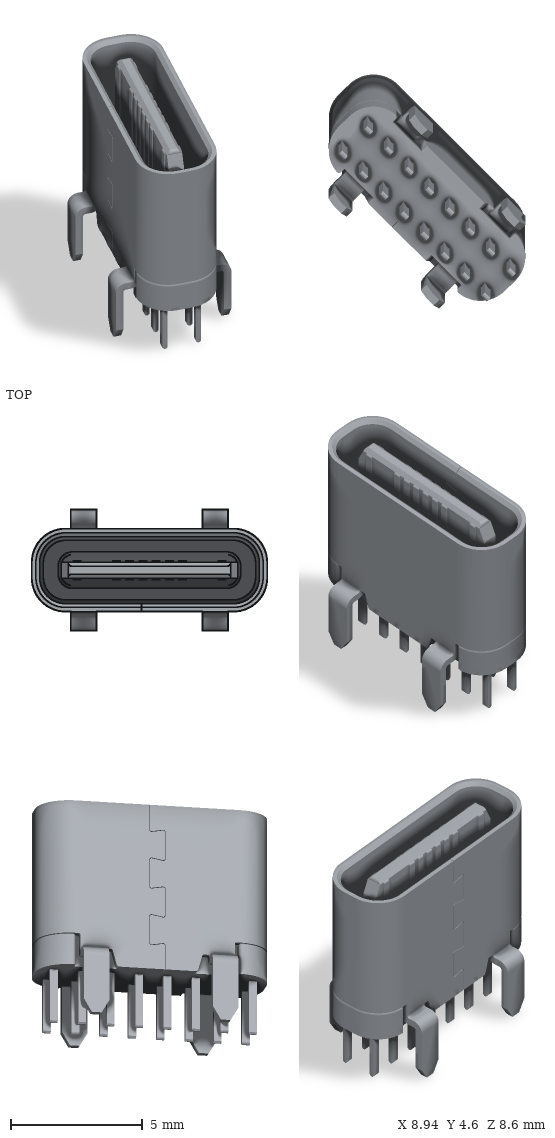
import cadquery as cq
import math


SHELL_LENGTH = 8.94
SHELL_DEPTH = 3.16
SHELL_HEIGHT = 6.51
CORNER_RADIUS = 1.3
SHEET = 0.3
RIM_CHAMFER = 0.14
INNER_LENGTH = SHELL_LENGTH - 2 * SHEET
INNER_DEPTH = SHELL_DEPTH - 2 * SHEET
INNER_RADIUS = CORNER_RADIUS - SHEET

LEG_SPAN_Y = 4.6
LEG_X = 2.49
LEG_WIDTH = 0.98
LEG_BOTTOM = -2.09
LEG_ARM_TOP = 0.58
LEG_TIP_WIDTH = 0.375
LEG_TIP_HEIGHT = 0.51
BEND_INNER = 0.1
BEND_OUTER = BEND_INNER + SHEET
LEG_OUTER_EDGE = LEG_X + LEG_WIDTH / 2
LEG_INNER_EDGE = LEG_X - LEG_WIDTH / 2
BEND_TOP = LEG_ARM_TOP + BEND_INNER

FLANGE_HEIGHT = 1.24
NOTCH_TOP_X = 1.74
NOTCH_BOTTOM_X = 1.57
NOTCH_MOUTH_X = 1.52
NOTCH_MOUTH_HEIGHT = 0.07
CUT_RADIUS = 0.06

SEAM_LEFT_X = -0.3
SEAM_RIGHT_X = 0.295
SEAM_GAP = 0.03
SEAM_FIRST_Z = 0.98
SEAM_PITCH = 1.13
SEAM_STEPS = 5
SEAM_SLANT = 0.05
SEAM_RADIUS = 0.07

FLANGE_END_X = 3.16
FLANGE_END_RADIUS = 0.125
FLANGE_TOP_RADIUS = 0.1
FLOOR_Z = 1.61
FLOOR_CHAMFER = 0.14

ROOT_LENGTH = 6.92
ROOT_DEPTH = 1.39
ROOT_RADIUS = 0.54
ROOT_STEP = 0.08
ROOT_HEIGHT = 0.33
ROOT_CHAMFER = 0.11
TONGUE_LENGTH = 6.69
TONGUE_THICKNESS = 0.61
TONGUE_SHOULDER_Z = 5.79
TONGUE_BEVEL_LENGTH = 6.17
TONGUE_BEVEL_Z = 6.36
TIP_LENGTH = 5.9
TIP_THICKNESS = 0.3

CONTACT_PITCH = 0.5
CONTACT_PITCHES_OUT = (0.5, 1.5, 2.5, 5.5)
CONTACT_WIDTH = 0.29
CONTACT_RISE = 0.05
CONTACT_RAMP = 0.07
PIN_PITCH = 1.1
PINS_PER_ROW = 8
PIN_ROW_Y = 0.67
PIN_WIDTH = 0.3
PIN_THICKNESS = 0.2
PIN_CHAMFER = 0.06

THROUGH = 2 * SHELL_LENGTH


def rounded_block(length, depth, radius, bottom, top):
    """Upright block with a rounded-rectangle outline."""
    block = cq.Workplane("XY").workplane(offset=bottom).rect(length, depth).extrude(top - bottom)
    return block.edges("|Z").fillet(radius)


def box(x_range, y_range, z_range):
    """Axis-aligned box given by its limits."""
    lengths = [high - low for low, high in (x_range, y_range, z_range)]
    corner = (x_range[0], y_range[0], z_range[0])
    return cq.Workplane("XY").box(*lengths, centered=False).translate(corner)


def both_x(shape):
    """The shape together with its mirror image across X = 0."""
    return shape.union(shape.mirror("YZ"))


def shell_tube():
    """Straight rounded tube with a chamfered lead-in around the mouth."""
    outer = rounded_block(SHELL_LENGTH, SHELL_DEPTH, CORNER_RADIUS, 0, SHELL_HEIGHT)
    inner = rounded_block(INNER_LENGTH, INNER_DEPTH, INNER_RADIUS, 0, SHELL_HEIGHT)
    reach = (SHELL_LENGTH - SHEET) / 2, (SHELL_DEPTH - SHEET) / 2
    mouth = cq.selectors.BoxSelector(
        (-reach[0], -reach[1], SHELL_HEIGHT - SHEET),
        (reach[0], reach[1], SHELL_HEIGHT + SHEET),
        boundingbox=True,
    )
    return outer.cut(inner).faces(">Z").edges(mouth).chamfer(RIM_CHAMFER)


def lower_edge_cuts():
    """Openings at the ends, over the legs and beside the legs, through both long walls."""
    end = box((-SHELL_LENGTH, -LEG_OUTER_EDGE), (-THROUGH, THROUGH), (0, FLANGE_HEIGHT))
    end = end.edges("|Y and >X and >Z").fillet(CUT_RADIUS)
    leg_gap = box((-LEG_OUTER_EDGE, -LEG_INNER_EDGE), (-THROUGH, THROUGH), (0, BEND_TOP))
    notch = (
        cq.Workplane("XZ")
        .polyline([
            (-LEG_INNER_EDGE, 0),
            (-LEG_INNER_EDGE, BEND_TOP),
            (-NOTCH_TOP_X, BEND_TOP),
            (-NOTCH_BOTTOM_X, NOTCH_MOUTH_HEIGHT),
            (-NOTCH_MOUTH_X, 0),
        ])
        .close()
        .extrude(THROUGH, both=True)
        .edges("|Y and >Z")
        .fillet(CUT_RADIUS)
    )
    return both_x(end.union(leg_gap).union(notch))


def seam_cut():
    """Narrow zigzag gap through the front wall, leaving interlocking dovetail tabs."""
    path = [(SEAM_RIGHT_X, -SHEET)]
    for step in range(SEAM_STEPS):
        middle = SEAM_FIRST_Z + SEAM_PITCH * step
        right_end = (SEAM_RIGHT_X, middle + SEAM_SLANT * (-1) ** step)
        left_end = (SEAM_LEFT_X, middle - SEAM_SLANT * (-1) ** step)
        path += [right_end, left_end] if step % 2 == 0 else [left_end, right_end]
    path.append((SEAM_LEFT_X, SHELL_HEIGHT + SHEET))
    centre_line = cq.Wire.makePolygon([cq.Vector(x, 0, z) for x, z in path])
    centre_line = centre_line.fillet(SEAM_RADIUS, centre_line.Vertices()[1:-1])
    outline = centre_line.offset2D(SEAM_GAP / 2)[0]
    gap = cq.Solid.extrudeLinear(outline, [], cq.Vector(0, -SHELL_DEPTH, 0))
    return cq.Workplane(gap)


def arc_point(centre, radius, degrees):
    """Point on a circle in the YZ plane."""
    angle = math.radians(degrees)
    return centre[0] + radius * math.cos(angle), centre[1] + radius * math.sin(angle)


def leg():
    """Leg on the +X, +Y side: out of the wall, along a short arm and down to a pointed tip."""
    outer_face = LEG_SPAN_Y / 2
    upper_bend = (SHELL_DEPTH / 2 + BEND_INNER, BEND_TOP)
    lower_bend = (outer_face - BEND_OUTER, LEG_ARM_TOP - BEND_OUTER)
    strip = (
        cq.Workplane("YZ")
        .moveTo(*arc_point(upper_bend, BEND_INNER, 180))
        .threePointArc(arc_point(upper_bend, BEND_INNER, 225), arc_point(upper_bend, BEND_INNER, 270))
        .lineTo(*arc_point(lower_bend, BEND_OUTER, 90))
        .threePointArc(arc_point(lower_bend, BEND_OUTER, 45), arc_point(lower_bend, BEND_OUTER, 0))
        .lineTo(outer_face, LEG_BOTTOM)
        .lineTo(outer_face - SHEET, LEG_BOTTOM)
        .lineTo(*arc_point(lower_bend, BEND_INNER, 0))
        .threePointArc(arc_point(lower_bend, BEND_INNER, 45), arc_point(lower_bend, BEND_INNER, 90))
        .lineTo(*arc_point(upper_bend, BEND_OUTER, 270))
        .threePointArc(arc_point(upper_bend, BEND_OUTER, 225), arc_point(upper_bend, BEND_OUTER, 180))
        .close()
        .extrude(LEG_WIDTH / 2, both=True)
    )
    shoulder = LEG_BOTTOM + LEG_TIP_HEIGHT
    blade = (
        cq.Workplane("XZ")
        .polyline([
            (-LEG_TIP_WIDTH / 2, LEG_BOTTOM),
            (-LEG_WIDTH / 2, shoulder),
            (-LEG_WIDTH / 2, BEND_TOP),
            (LEG_WIDTH / 2, BEND_TOP),
            (LEG_WIDTH / 2, shoulder),
            (LEG_TIP_WIDTH / 2, LEG_BOTTOM),
        ])
        .close()
        .extrude(-LEG_SPAN_Y)
    )
    return strip.intersect(blade).translate((LEG_X, 0, 0))


def make_shell():
    shell = shell_tube().cut(lower_edge_cuts()).cut(seam_cut())
    legs = both_x(leg())
    return shell.union(legs).union(legs.mirror("XZ"))


def core_base():
    """Plug that fills the lower end of the shell, with the flange pieces under the shell ends."""
    plug = rounded_block(INNER_LENGTH, INNER_DEPTH, INNER_RADIUS, 0, FLOOR_Z)
    plug = plug.faces(">Z").chamfer(FLOOR_CHAMFER)
    flange = rounded_block(SHELL_LENGTH, SHELL_DEPTH, CORNER_RADIUS, 0, FLANGE_HEIGHT)
    flange = flange.intersect(
        box((FLANGE_END_X, THROUGH), (-THROUGH, THROUGH), (0, FLANGE_HEIGHT))
    )
    flange = flange.edges("|Z and <X").fillet(FLANGE_END_RADIUS)
    flange = flange.faces(">Z").edges().fillet(FLANGE_TOP_RADIUS)
    return plug.union(both_x(flange))


def tongue_root():
    """Raised foot with a chamfered skirt, whose long sides ease off towards the tongue faces."""
    root_top = FLOOR_Z + ROOT_HEIGHT
    wall_length = ROOT_LENGTH - 2 * ROOT_CHAMFER
    wall_depth = ROOT_DEPTH - 2 * ROOT_CHAMFER
    foot = rounded_block(wall_length, wall_depth, ROOT_RADIUS - ROOT_CHAMFER, FLOOR_Z, root_top)
    skirt = rounded_block(ROOT_LENGTH, ROOT_DEPTH, ROOT_RADIUS, 0, FLOOR_Z + ROOT_CHAMFER)
    foot = foot.union(skirt.faces(">Z").chamfer(ROOT_CHAMFER))
    step_depth = ROOT_DEPTH - 2 * ROOT_STEP
    slopes = (
        cq.Workplane("YZ")
        .polyline([
            (-ROOT_DEPTH / 2, FLOOR_Z),
            (-step_depth / 2, FLOOR_Z + ROOT_STEP),
            (-TONGUE_THICKNESS / 2, root_top),
            (TONGUE_THICKNESS / 2, root_top),
            (step_depth / 2, FLOOR_Z + ROOT_STEP),
            (ROOT_DEPTH / 2, FLOOR_Z),
        ])
        .close()
        .extrude(ROOT_LENGTH / 2, both=True)
    )
    return foot.intersect(slopes)


def tongue():
    """Flat tongue with bevelled faces and leaning, rounded ends at the tip."""
    thickness_profile = (
        cq.Workplane("YZ")
        .polyline([
            (-TONGUE_THICKNESS / 2, FLOOR_Z),
            (-TONGUE_THICKNESS / 2, TONGUE_BEVEL_Z),
            (-TIP_THICKNESS / 2, SHELL_HEIGHT),
            (TIP_THICKNESS / 2, SHELL_HEIGHT),
            (TONGUE_THICKNESS / 2, TONGUE_BEVEL_Z),
            (TONGUE_THICKNESS / 2, FLOOR_Z),
        ])
        .close()
        .extrude(TONGUE_LENGTH, both=True)
    )
    left_profile = (
        cq.Workplane("XZ")
        .moveTo(0, FLOOR_Z)
        .lineTo(0, SHELL_HEIGHT)
        .lineTo(-TIP_LENGTH / 2, SHELL_HEIGHT)
        .tangentArcPoint((-TONGUE_BEVEL_LENGTH / 2, TONGUE_BEVEL_Z), relative=False)
        .lineTo(-TONGUE_LENGTH / 2, TONGUE_SHOULDER_Z)
        .lineTo(-TONGUE_LENGTH / 2, FLOOR_Z)
        .close()
        .extrude(TONGUE_THICKNESS, both=True)
    )
    return both_x(left_profile.intersect(thickness_profile))


def contact():
    """Contact strip on the +Y tongue face, rounded off at its upper end."""
    face = TONGUE_THICKNESS / 2
    return (
        cq.Workplane("YZ")
        .moveTo(0, FLOOR_Z)
        .lineTo(face + CONTACT_RISE, FLOOR_Z)
        .lineTo(face + CONTACT_RISE, TONGUE_BEVEL_Z - CONTACT_RAMP)
        .tangentArcPoint((face, TONGUE_BEVEL_Z), relative=False)
        .lineTo(0, TONGUE_BEVEL_Z)
        .close()
        .extrude(CONTACT_WIDTH / 2, both=True)
    )


def pin():
    """Solder pin below the core, with both wide faces chamfered at the tip."""
    pin_body = box(
        (-PIN_WIDTH / 2, PIN_WIDTH / 2),
        (-PIN_THICKNESS / 2, PIN_THICKNESS / 2),
        (LEG_BOTTOM, 0),
    )
    return pin_body.faces("<Z").edges("|X").chamfer(PIN_CHAMFER)


def make_core():
    core = core_base().union(tongue_root()).union(tongue())
    for pitches in CONTACT_PITCHES_OUT:
        contacts = both_x(contact().translate((pitches * CONTACT_PITCH, 0, 0)))
        core = core.union(contacts).union(contacts.mirror("XZ"))
    for index in range(PINS_PER_ROW):
        x = (index - (PINS_PER_ROW - 1) / 2) * PIN_PITCH
        for y in (-PIN_ROW_Y, PIN_ROW_Y):
            core = core.union(pin().translate((x, y, 0)))
    return core


shell = make_shell()
core = make_core()
result = cq.Compound.makeCompound([shell.solids().val(), core.solids().val()])